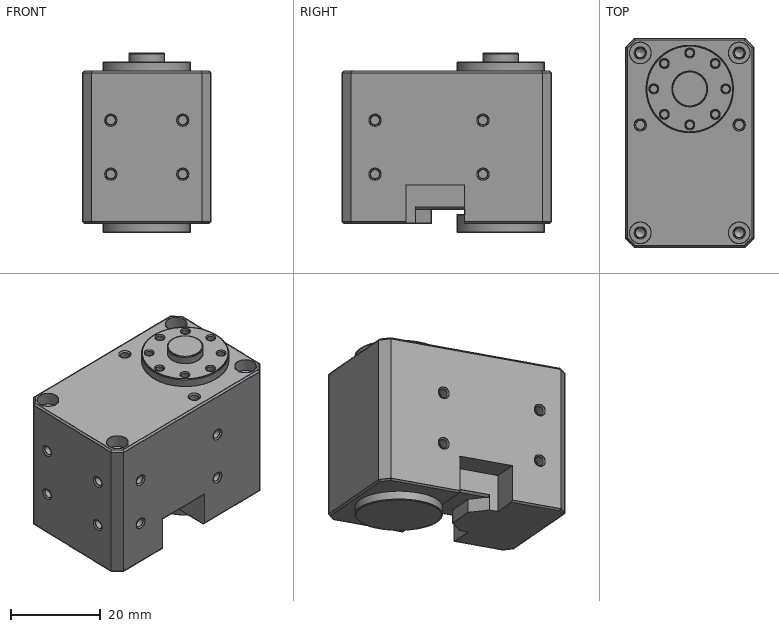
import cadquery as cq
import math

width = 28.5
length = 46.5
height = 33.9
corner_bevel = 2.0
edge_bevel = 0.4

total_height = 39.9
horn_diameter = 19.45
horn_height = 2.05
horn_bevel = 0.2
axis_y = length / 2 - 11.25
hub_diameter = 7.95
hub_height = total_height - height - 2 * horn_height
bottom_horn_sunk_depth = 1.95

horn_hole_count = 8
horn_hole_circle = 16.0
horn_hole_diameter = 1.67
horn_hole_mouth = 2.2
horn_hole_depth = horn_height
tap_diameter = 2.05
tap_mouth = 2.7
tap_depth = 3.0
tap_spacing_x = 16.0
tap_spacing_y = 24.0
tap_spacing_z = 12.0
side_tap_center_y = -length / 2 + 7.3 + tap_spacing_y / 2

screw_spacing_x = 22.0
screw_spacing_y = 40.0
counterbore_diameter = 4.8
counterbore_depth = 2.98
screw_hole_diameter = 2.15
screw_hole_mouth = 2.7
screw_hole_depth = 3.7
drill_point_angle = 118.0
top_tap_y = axis_y - horn_hole_circle / 2

notch_wall_y = length / 2 - 19.3
notch_length = 13.0
notch_height = 8.55
notch_depth = 6.98
channel_height = 3.1
channel_mouth_length = 10.9
channel_neck_length = 7.35
channel_lip_bevel = 0.5


def tapped_hole(diameter, mouth, depth):
    """Flat-bottomed cutter below the XY plane with a 45 degree countersunk mouth."""
    mouth_depth = (mouth - diameter) / 2
    profile = [
        (0, 0),
        (mouth / 2, 0),
        (diameter / 2, -mouth_depth),
        (diameter / 2, -depth),
        (0, -depth),
    ]
    return cq.Workplane("XZ").polyline(profile).close().revolve(360, (0, 0), (0, 1))


def screw_hole():
    """Cutter for a counterbore with a countersunk, drill-pointed hole in its floor."""
    bore_radius = counterbore_diameter / 2
    mouth_radius = screw_hole_mouth / 2
    hole_radius = screw_hole_diameter / 2
    hole_bottom = -counterbore_depth - screw_hole_depth
    point_depth = hole_radius / math.tan(math.radians(drill_point_angle / 2))
    profile = [
        (0, 0),
        (bore_radius, 0),
        (bore_radius, -counterbore_depth),
        (mouth_radius, -counterbore_depth),
        (hole_radius, -counterbore_depth - (mouth_radius - hole_radius)),
        (hole_radius, hole_bottom),
        (0, hole_bottom - point_depth),
    ]
    return cq.Workplane("XZ").polyline(profile).close().revolve(360, (0, 0), (0, 1))


def make_case():
    block = cq.Workplane("XY").box(width, length, height, centered=(True, True, False))
    return block.edges("|Z").chamfer(corner_bevel).faces("|Z").edges().chamfer(edge_bevel)


def make_cable_passage():
    half_width = width / 2
    notch_floor_x = half_width - notch_depth
    notch_center_y = notch_wall_y - notch_length / 2
    neck_x = notch_floor_x - (channel_mouth_length - channel_neck_length)
    mouth_y = notch_wall_y - channel_mouth_length
    neck_y = notch_wall_y - channel_neck_length

    channel_plan = [
        (-notch_floor_x, notch_wall_y),
        (-notch_floor_x, mouth_y),
        (-neck_x, neck_y),
        (neck_x, neck_y),
        (notch_floor_x, mouth_y),
        (notch_floor_x, notch_wall_y),
    ]
    passage = cq.Workplane("XY").polyline(channel_plan).close().extrude(channel_height)

    for side in (-1, 1):
        notch = (
            cq.Workplane("XY")
            .box(notch_depth, notch_length, notch_height, centered=(True, True, False))
            .translate((side * (half_width - notch_depth / 2), notch_center_y, 0))
        )
        lip_profile = [
            (side * notch_floor_x, channel_height),
            (side * notch_floor_x, channel_height + channel_lip_bevel),
            (side * (notch_floor_x - channel_lip_bevel), channel_height),
        ]
        lip = (
            cq.Workplane("XZ", origin=(0, notch_wall_y, 0))
            .polyline(lip_profile)
            .close()
            .extrude(channel_mouth_length)
        )
        passage = passage.union(notch).union(lip)
    return passage


def make_top_horn():
    horn = cq.Workplane("XY").circle(horn_diameter / 2).extrude(horn_height)
    horn = horn.faces(">Z").edges().chamfer(horn_bevel)
    hub = cq.Workplane("XY").circle(hub_diameter / 2).extrude(horn_height + hub_height)
    hub = hub.faces(">Z").edges().chamfer(horn_bevel)
    return horn.union(hub).translate((0, axis_y, height))


def make_bottom_horn():
    horn = cq.Workplane("XY").circle(horn_diameter / 2).extrude(horn_height + bottom_horn_sunk_depth)
    horn = horn.faces("<Z").edges().chamfer(horn_bevel)
    return horn.translate((0, axis_y, -horn_height))


def cut_horn_holes(body):
    cutter = tapped_hole(horn_hole_diameter, horn_hole_mouth, horn_hole_depth)
    for index in range(horn_hole_count):
        angle = 2 * math.pi * index / horn_hole_count
        x = horn_hole_circle / 2 * math.cos(angle)
        y = axis_y + horn_hole_circle / 2 * math.sin(angle)
        body = body.cut(cutter.translate((x, y, height + horn_height)))
    return body


def cut_top_holes(body):
    tap = tapped_hole(tap_diameter, tap_mouth, tap_depth)
    screw = screw_hole()
    for x in (-screw_spacing_x / 2, screw_spacing_x / 2):
        body = body.cut(tap.translate((x, top_tap_y, height)))
        for y in (-screw_spacing_y / 2, screw_spacing_y / 2):
            body = body.cut(screw.translate((x, y, height)))
    return body


def cut_side_holes(body):
    """Four tapped holes in the -Y end and four in each long side."""
    tap = tapped_hole(tap_diameter, tap_mouth, tap_depth)
    tap_from_end = tap.rotate((0, 0, 0), (1, 0, 0), 90)
    for side in (-1, 1):
        tap_from_side = tap.rotate((0, 0, 0), (0, 1, 0), side * 90)
        for z in (height / 2 - tap_spacing_z / 2, height / 2 + tap_spacing_z / 2):
            body = body.cut(tap_from_end.translate((side * tap_spacing_x / 2, -length / 2, z)))
            for y_offset in (-tap_spacing_y / 2, tap_spacing_y / 2):
                y = side_tap_center_y + y_offset
                body = body.cut(tap_from_side.translate((side * width / 2, y, z)))
    return body


body = make_case().cut(make_cable_passage())
body = body.union(make_top_horn()).union(make_bottom_horn())
body = cut_horn_holes(body)
body = cut_top_holes(body)
result = cut_side_holes(body)